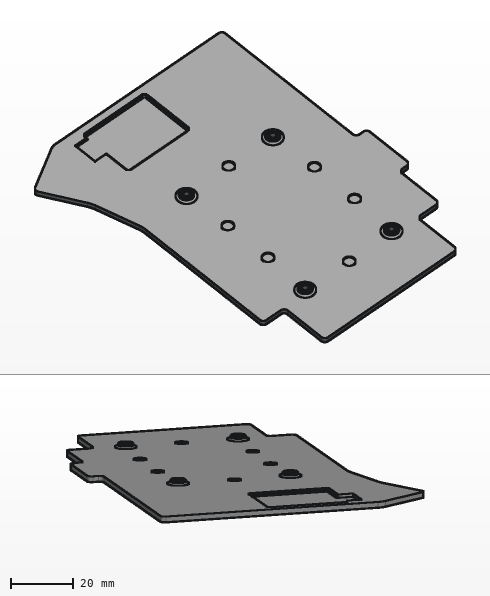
import cadquery as cq
import math

plate_length = 122.1
plate_thickness = 2.0
corner_radius = 1.5
bend_radius = 10.4
left_corner_radius = 5.5
key_pitch = 19.0

back_tab_left = 63.5
back_tab_right = 84.0
back_tab_y = 96.6
back_edge_y = 91.8
front_edge_y = 14.3
side_tab_back_y = 82.2
side_tab_front_y = 23.7
side_step_x = plate_length - key_pitch

thumb_tilt = math.radians(30)
thumb_x = 10.3
thumb_y = corner_radius * (1 - math.cos(thumb_tilt) - math.sin(thumb_tilt))
left_edge_y = thumb_y + thumb_x / math.tan(thumb_tilt)
thumb_bend_x = 27.2
thumb_bend_y = thumb_y + (thumb_bend_x - thumb_x) * math.tan(thumb_tilt)
front_edge_x = thumb_bend_x + (front_edge_y - thumb_bend_y) / math.tan(thumb_tilt / 2)

pattern_x = 73.6
pattern_y = 53.0

boss_spacing_x = 56.3
boss_spacing_y = 38.0
boss_diameter = 5.0
boss_height = 1.3
boss_base_diameter = 7.1
boss_cone_height = 0.6
boss_chamfer = 0.4
screw_hole_diameter = 2.2

magnet_diameter = 4.2
magnet_depth = 0.5
magnet_row_offset = 1.0

pocket_left = 3.0
pocket_right = 24.7
pocket_front = 27.7
pocket_back = 55
pocket_depth = 1.1
pocket_radius = 1.0
pocket_chamfer = 0.55
notch_left = 4.9
notch_right = 14.3
notch_front = 22.7


def upright_edge_at(x, y):
    """Selector for the plate's upright corner edge at the given place."""
    return cq.selectors.NearestToPointSelector((x, y, plate_thickness / 2))


def make_plate():
    outline = [
        (0, left_edge_y),
        (thumb_x, thumb_y),
        (thumb_bend_x, thumb_bend_y),
        (front_edge_x, front_edge_y),
        (side_step_x, front_edge_y),
        (side_step_x, side_tab_front_y),
        (plate_length, side_tab_front_y),
        (plate_length, side_tab_back_y),
        (side_step_x, side_tab_back_y),
        (side_step_x, back_edge_y),
        (back_tab_right, back_edge_y),
        (back_tab_right, back_tab_y),
        (back_tab_left, back_tab_y),
        (back_tab_left, back_edge_y),
        (0, back_edge_y),
    ]
    plate = cq.Workplane("XY").polyline(outline).close().extrude(plate_thickness)
    left_corner = upright_edge_at(0, left_edge_y)
    thumb_bend = upright_edge_at(thumb_bend_x, thumb_bend_y)
    front_bend = upright_edge_at(front_edge_x, front_edge_y)
    other_corners = cq.selectors.StringSyntaxSelector("|Z") - left_corner - thumb_bend - front_bend
    plate = plate.edges(other_corners).fillet(corner_radius)
    plate = plate.edges(left_corner).fillet(left_corner_radius)
    return plate.edges(thumb_bend + front_bend).fillet(bend_radius)


def box_cut(left, right, front, back, depth):
    """Box from the given depth up to the plate's top face."""
    return (
        cq.Workplane("XY", origin=(0, 0, plate_thickness - depth))
        .moveTo(left, front)
        .lineTo(right, front)
        .lineTo(right, back)
        .lineTo(left, back)
        .close()
        .extrude(depth)
    )


def make_pocket():
    pocket = box_cut(pocket_left, pocket_right, pocket_front, pocket_back, pocket_depth)
    pocket = pocket.edges("|Z").fillet(pocket_radius)
    pocket = pocket.faces("<Z").chamfer(pocket_chamfer)
    notch_back = pocket_front + pocket_radius
    notch = box_cut(notch_left, notch_right, notch_front, notch_back, pocket_depth)
    return pocket.union(notch)


def make_boss():
    """Boss on a conical foot, revolved about Z from the plate's top face."""
    radius = boss_diameter / 2
    return (
        cq.Workplane("XZ")
        .lineTo(boss_base_diameter / 2, 0)
        .lineTo(radius, boss_cone_height)
        .lineTo(radius, boss_height - boss_chamfer)
        .lineTo(radius - boss_chamfer, boss_height)
        .lineTo(0, boss_height)
        .close()
        .revolve(360, (0, 0, 0), (0, 1, 0))
    )


def make_screw_hole():
    """Through hole with a countersunk mouth, centred on Z above the underside."""
    radius = screw_hole_diameter / 2
    top = plate_thickness + boss_height
    return (
        cq.Workplane("XZ")
        .lineTo(radius, 0)
        .lineTo(radius, top - boss_chamfer)
        .lineTo(radius + boss_chamfer, top)
        .lineTo(0, top)
        .close()
        .revolve(360, (0, 0, 0), (0, 1, 0))
    )


boss_points = [
    (pattern_x + side * boss_spacing_x / 2, pattern_y + row * boss_spacing_y / 2)
    for side in (-1, 1)
    for row in (-1, 1)
]
magnet_points = [
    (pattern_x + side * key_pitch / 2, pattern_y + magnet_row_offset + row * key_pitch)
    for side in (-1, 1)
    for row in (-1, 1)
]
magnet_points += [(pattern_x + side * 1.5 * key_pitch, pattern_y) for side in (-1, 1)]

result = make_plate().cut(make_pocket())
for x, y in boss_points:
    result = result.union(make_boss().translate((x, y, plate_thickness)))
    result = result.cut(make_screw_hole().translate((x, y, 0)))
for x, y in magnet_points:
    magnet = cq.Workplane("XY", origin=(x, y, plate_thickness)).circle(magnet_diameter / 2)
    result = result.cut(magnet.extrude(-magnet_depth))